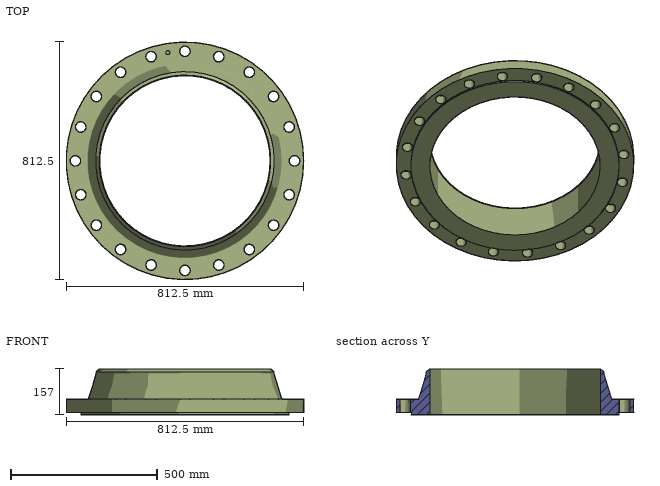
import cadquery as cq
import math

flange_diameter = 812.5
flange_bottom = 7.0
flange_top = 54.0

face_diameter = 712.0

hub_base_diameter = 663.0
hub_base_fillet = 2.5
neck_diameter = 610.0
neck_height = 7.0
overall_height = 157.0
bevel_height = 10.0
root_land = 2.5
bore_diameter = 582.0

bolt_count = 20
bolt_circle_diameter = 749.0
bolt_hole_diameter = 35.0

blind_hole_diameter = 14.0
blind_hole_depth = 24.0
blind_hole_angle = 90.0 + 180.0 / bolt_count


def make_body():
    """Revolve the half section of the flange, hub and weld end about Z."""
    bore_radius = bore_diameter / 2
    face_radius = face_diameter / 2
    flange_radius = flange_diameter / 2
    neck_radius = neck_diameter / 2
    bevel_bottom = overall_height - bevel_height
    section = [
        (bore_radius, 0),
        (face_radius, 0),
        (face_radius, flange_bottom),
        (flange_radius, flange_bottom),
        (flange_radius, flange_top),
        (hub_base_diameter / 2, flange_top),
        (neck_radius, bevel_bottom - neck_height),
        (neck_radius, bevel_bottom),
        (bore_radius + root_land, overall_height),
        (bore_radius, overall_height),
    ]
    return cq.Workplane("XZ").polyline(section).close().revolve(360, (0, 0, 0), (0, 1, 0))


def round_hub_corner(body):
    """Fillet the circle where the tapered hub meets the top of the flange."""
    box_reach = (hub_base_diameter + flange_diameter) / 4
    hub_corner = cq.selectors.BoxSelector(
        (-box_reach, -box_reach, flange_top - hub_base_fillet),
        (box_reach, box_reach, flange_top + hub_base_fillet),
        boundingbox=True,
    )
    return body.edges(hub_corner).fillet(hub_base_fillet)


def make_bolt_holes():
    """Through cutters spaced evenly on the bolt circle, one on the X axis."""
    return (
        cq.Workplane("XY")
        .polarArray(bolt_circle_diameter / 2, 0, 360, bolt_count)
        .circle(bolt_hole_diameter / 2)
        .extrude(flange_top)
    )


def make_blind_hole():
    """Flat-bottomed cutter on the bolt circle, reaching down from the flange top."""
    radius = bolt_circle_diameter / 2
    angle = math.radians(blind_hole_angle)
    return (
        cq.Workplane("XY", origin=(0, 0, flange_top))
        .center(radius * math.cos(angle), radius * math.sin(angle))
        .circle(blind_hole_diameter / 2)
        .extrude(-blind_hole_depth)
    )


body = round_hub_corner(make_body())
result = body.cut(make_bolt_holes()).cut(make_blind_hole())